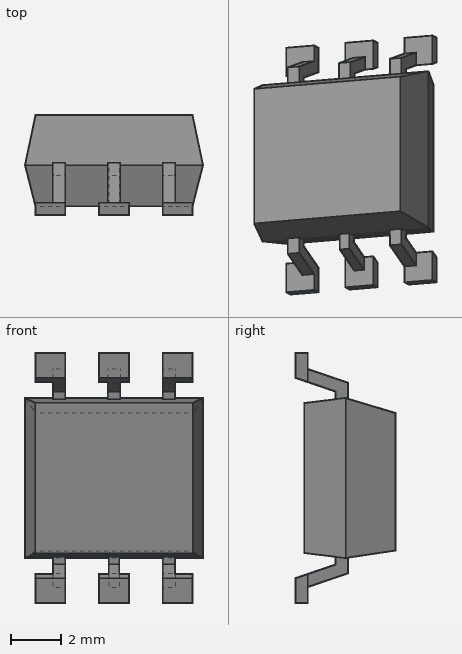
import cadquery as cq


seam_width = 7.12
seam_height = 6.4
face_width = 6.28
front_face_height = 6.0
back_face_top = 2.6
back_face_bottom = -2.9
back_depth = 2.0
front_depth = 1.65

lead_pitch = 2.54
lead_span = 10.0
lead_thickness = 0.5
lead_back = 0.1
pad_front = -2.0
pad_width = 1.2
pad_front_height = 1.0
arm_slope = 0.342
outer_bend = 3.81
root = 2.8
outer_arm_width = 0.5
upper_middle_arm_width = 0.5
lower_middle_arm_width = 0.42


def rectangle(width, bottom, top, y):
    """Closed rectangular wire in the plane at depth y, centred on X = 0."""
    half = width / 2
    corners = [(-half, y, bottom), (half, y, bottom), (half, y, top), (-half, y, top)]
    return cq.Wire.makePolygon([cq.Vector(*corner) for corner in corners], close=True)


def make_body():
    """Body tapering from the parting plane to the front and back faces."""
    seam = rectangle(seam_width, -seam_height / 2, seam_height / 2, 0)
    front = rectangle(face_width, -front_face_height / 2, front_face_height / 2, -front_depth)
    back = rectangle(face_width, back_face_bottom, back_face_top, back_depth)
    front_half = cq.Workplane(cq.Solid.makeLoft([front, seam], True))
    back_half = cq.Workplane(cq.Solid.makeLoft([seam, back], True))
    return front_half.union(back_half)


def extrude_profile(points, x_start, width):
    """Extrude a closed (Y, Z) outline along +X from x_start."""
    return cq.Workplane("YZ", origin=(x_start, 0, 0)).polyline(points).close().extrude(width)


def make_lead(pad_start, arm_start, arm_width):
    """Upper lead: narrow cranked arm ending in a wider pad with a sloping underside."""
    tip = lead_span / 2
    pad_back = pad_front + lead_thickness
    stub_front = lead_back - lead_thickness
    pad_front_bottom = tip - pad_front_height
    pad_back_bottom = pad_front_bottom - arm_slope * lead_thickness
    inner_bend = pad_front_bottom - arm_slope * (stub_front - pad_front)
    arm_top_at_pad = outer_bend + arm_slope * (lead_back - pad_back)

    arm_outline = [
        (lead_back, root),
        (lead_back, outer_bend),
        (pad_back, arm_top_at_pad),
        (pad_back, pad_back_bottom),
        (stub_front, inner_bend),
        (stub_front, root),
    ]
    pad_outline = [
        (pad_back, tip),
        (pad_front, tip),
        (pad_front, pad_front_bottom),
        (pad_back, pad_back_bottom),
    ]
    arm = extrude_profile(arm_outline, arm_start, arm_width)
    pad = extrude_profile(pad_outline, pad_start, pad_width)
    return arm.union(pad)


def make_lead_row(middle_arm_width):
    """Three upper leads; the outer arms are flush with the inner edges of their pads."""
    half_pad = pad_width / 2
    left_pad_start = -lead_pitch - half_pad
    left_arm_start = -lead_pitch + half_pad - outer_arm_width
    right_start = lead_pitch - half_pad
    left = make_lead(left_pad_start, left_arm_start, outer_arm_width)
    middle = make_lead(-half_pad, -middle_arm_width / 2, middle_arm_width)
    right = make_lead(right_start, right_start, outer_arm_width)
    return [left, middle, right]


result = make_body()
for upper_lead in make_lead_row(upper_middle_arm_width):
    result = result.union(upper_lead)
for lower_lead in make_lead_row(lower_middle_arm_width):
    result = result.union(lower_lead.mirror("XY"))